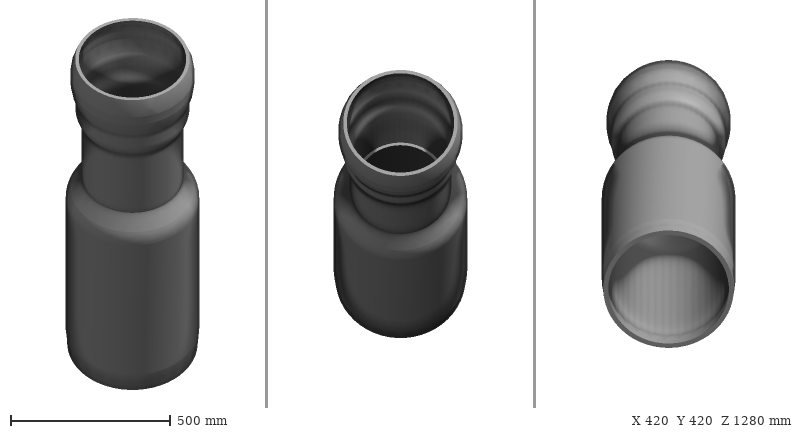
import cadquery as cq
import math

TOTAL_HEIGHT = 1280.0

BODY_RADIUS = 420.0 / 2
BODY_WALL = 15.0
FOOT_RADIUS = 205.0
FOOT_HEIGHT = 73.0
SHOULDER_START = 655.0
SHOULDER_ARC_RADIUS = 80.0
SHOULDER_ANGLE = math.radians(35)

NECK_RADIUS = 320.0 / 2
NECK_WALL = 9.9
SOCKET_RADIUS = 360.0 / 2
BEAD_RADIUS = 390.0 / 2
RIM_RADIUS = SOCKET_RADIUS
NECK_TOP = 998.0
SOCKET_BOTTOM = 1068.0
SOCKET_TOP = 1106.0
BEAD_BOTTOM = 1184.0
BEAD_TOP = 1219.0
NECK_BLEND_HEIGHT = 27.0
SOCKET_BLEND_HEIGHT = 20.0

shoulder_sin = math.sin(SHOULDER_ANGLE)
shoulder_cos = math.cos(SHOULDER_ANGLE)
cone_radius = BODY_RADIUS - SHOULDER_ARC_RADIUS * (1 - shoulder_cos)
cone_start = SHOULDER_START + SHOULDER_ARC_RADIUS * shoulder_sin
joint_height = cone_start + (cone_radius - NECK_RADIUS) / math.tan(SHOULDER_ANGLE)


def arc_point(center, radius, angle):
    """Point on a circle in the (radius, height) half plane."""
    return (center[0] + radius * math.cos(angle), center[1] + radius * math.sin(angle))


def revolve_profile(profile):
    """Close a (radius, height) profile and turn it about the Z axis."""
    return profile.close().revolve(360, (0, 0, 0), (0, 1, 0))


def lower_shape(inset):
    """Solid of revolution inside the lower pipe's outer surface, inset by a wall thickness."""
    side_radius = BODY_RADIUS - inset
    arc_center = (BODY_RADIUS - SHOULDER_ARC_RADIUS, SHOULDER_START)
    arc_radius = SHOULDER_ARC_RADIUS - inset
    profile = (
        cq.Workplane("XZ")
        .lineTo(FOOT_RADIUS - inset, 0)
        .lineTo(side_radius, FOOT_HEIGHT)
        .lineTo(side_radius, SHOULDER_START)
        .threePointArc(
            arc_point(arc_center, arc_radius, SHOULDER_ANGLE / 2),
            arc_point(arc_center, arc_radius, SHOULDER_ANGLE),
        )
        .lineTo(NECK_RADIUS - inset / shoulder_cos, joint_height)
        .lineTo(0, joint_height)
    )
    return revolve_profile(profile)


def add_flare(profile, lower, upper, concave_height, inset):
    """Add a tangent S-bend, concave then convex, between two upright (radius, height) points."""
    rise = upper[1] - lower[1]
    angle = 2 * math.atan((upper[0] - lower[0]) / rise)
    concave_radius = concave_height / math.sin(angle)
    convex_radius = (rise - concave_height) / math.sin(angle)
    concave_center = (lower[0] + concave_radius, lower[1])
    convex_center = (upper[0] - convex_radius, upper[1])
    concave_radius += inset
    convex_radius -= inset
    return (
        profile.lineTo(lower[0] - inset, lower[1])
        .threePointArc(
            arc_point(concave_center, concave_radius, math.pi - angle / 2),
            arc_point(concave_center, concave_radius, math.pi - angle),
        )
        .threePointArc(
            arc_point(convex_center, convex_radius, -angle / 2),
            arc_point(convex_center, convex_radius, 0),
        )
    )


def add_mouth(profile, inset):
    """Add the inward-curving arc from the bead to the flat rim."""
    mouth_height = TOTAL_HEIGHT - BEAD_TOP
    narrowing = BEAD_RADIUS - RIM_RADIUS
    outer_arc_radius = (mouth_height**2 + narrowing**2) / (2 * narrowing)
    center = (BEAD_RADIUS - outer_arc_radius, BEAD_TOP)
    radius = outer_arc_radius - inset
    rim_angle = math.asin(mouth_height / radius)
    return profile.lineTo(BEAD_RADIUS - inset, BEAD_TOP).threePointArc(
        arc_point(center, radius, rim_angle / 2),
        arc_point(center, radius, rim_angle),
    )


def upper_shape(inset):
    """Solid of revolution inside the upper pipe's outer surface, inset by a wall thickness."""
    profile = cq.Workplane("XZ").moveTo(0, joint_height).lineTo(NECK_RADIUS - inset, joint_height)
    profile = add_flare(
        profile, (NECK_RADIUS, NECK_TOP), (SOCKET_RADIUS, SOCKET_BOTTOM), NECK_BLEND_HEIGHT, inset
    )
    profile = add_flare(
        profile, (SOCKET_RADIUS, SOCKET_TOP), (BEAD_RADIUS, BEAD_BOTTOM), SOCKET_BLEND_HEIGHT, inset
    )
    profile = add_mouth(profile, inset).lineTo(0, TOTAL_HEIGHT)
    return revolve_profile(profile)


lower_pipe = lower_shape(0).cut(lower_shape(BODY_WALL))
socket_pipe = upper_shape(0).cut(upper_shape(NECK_WALL))

result = cq.Compound.makeCompound([lower_pipe.val(), socket_pipe.val()])